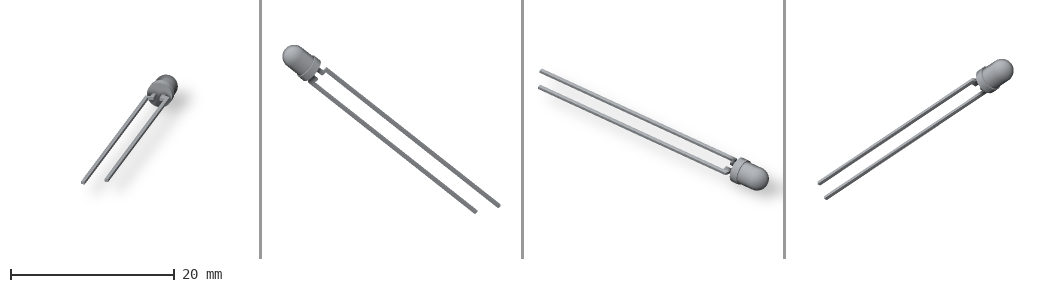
import cadquery as cq

total_length = 34.4
body_length = 4.4

flange_radius = 1.6
flange_height = 1.0
lens_radius = 1.45

lead_thickness = 0.38
lead_width = 0.45
lead_center_x = 1.27
stem_inner_x = 0.38
stem_outer_x = 0.85
foot_depth = 1.35
long_lead_length = total_length - body_length
lead_length_difference = 1.5
short_lead_length = long_lead_length - lead_length_difference

square_shoulder_depth = 1.03
slope_start_depth = 0.4
slope_end_depth = 0.72


def make_body():
    """Flanged cylinder with a hemispherical dome, revolved about Y."""
    dome_start = body_length - lens_radius
    arc_offset = lens_radius * 0.5 ** 0.5
    return (
        cq.Workplane("XY")
        .lineTo(flange_radius, 0)
        .lineTo(flange_radius, flange_height)
        .lineTo(lens_radius, flange_height)
        .lineTo(lens_radius, dome_start)
        .threePointArc((arc_offset, dome_start + arc_offset), (0, body_length))
        .close()
        .revolve(360, (0, 0, 0), (0, 1, 0))
    )


def make_lead(side, length, shoulder_start, shoulder_end):
    """Cranked lead on the -X (side = -1) or +X (side = 1) side of the body."""
    lead_inner_x = lead_center_x - lead_width / 2
    lead_outer_x = lead_center_x + lead_width / 2
    outline = [
        (side * stem_inner_x, 0),
        (side * stem_outer_x, 0),
        (side * stem_outer_x, -shoulder_start),
        (side * lead_outer_x, -shoulder_end),
        (side * lead_outer_x, -length),
        (side * lead_inner_x, -length),
        (side * lead_inner_x, -foot_depth),
        (side * stem_inner_x, -foot_depth),
    ]
    return cq.Workplane("XY").polyline(outline).close().extrude(lead_thickness / 2, both=True)


long_lead = make_lead(-1, long_lead_length, square_shoulder_depth, square_shoulder_depth)
short_lead = make_lead(1, short_lead_length, slope_start_depth, slope_end_depth)

result = make_body().union(long_lead).union(short_lead)